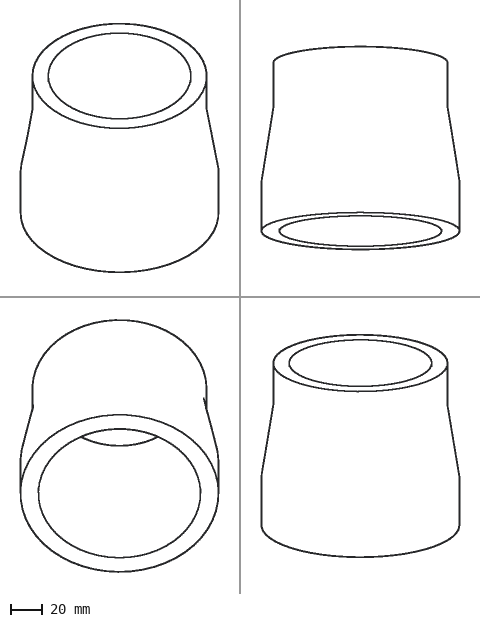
import cadquery as cq

height = 108.0
wide_radius = 125 / 2
wide_wall = 11.4
wide_length = 32.2
narrow_radius = 110 / 2
narrow_wall = 10.0
narrow_length = 28.2

taper_top = height - narrow_length
wide_bore = wide_radius - wide_wall
narrow_bore = narrow_radius - narrow_wall


def stepped_taper(lower_radius, upper_radius):
    """Solid of revolution about Z: cylinder, cone and cylinder stacked."""
    return (
        cq.Workplane("XZ")
        .moveTo(0, 0)
        .lineTo(lower_radius, 0)
        .lineTo(lower_radius, wide_length)
        .lineTo(upper_radius, taper_top)
        .lineTo(upper_radius, height)
        .lineTo(0, height)
        .close()
        .revolve(360, (0, 0, 0), (0, 1, 0))
    )


outer_body = stepped_taper(wide_radius, narrow_radius)
bore = stepped_taper(wide_bore, narrow_bore)
result = outer_body.cut(bore)